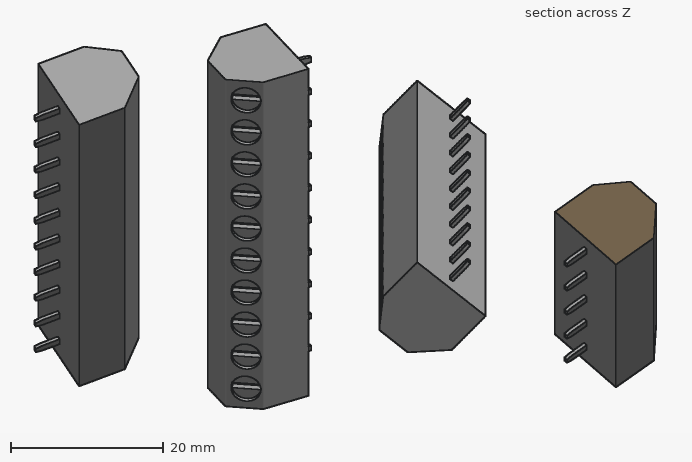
import cadquery as cq
import math

height = 51.7
width = 12.0
body_depth = 10.8
screw_bevel_x = 2.9
bevel_y = 4.1
wire_bevel_x = bevel_y
bevel_edge_radius = 0.35

pole_count = 10
pole_pitch = 5.05

pin_length = 3.45
pin_thickness = 0.5
pin_height = 1.0
tip_length = 0.95
tip_height = 0.65

screw_diameter = 3.95
screw_recess = 0.6
slot_width = 0.85
slot_bottom = 1.55
screw_offset = 0.2

left = -width / 2
right = width / 2
front = 0.0
back = body_depth
bevel_start = back - bevel_y
pole_heights = [(i - (pole_count - 1) / 2) * pole_pitch for i in range(pole_count)]


def make_housing():
    """Extruded body with two bevels; both corners of the screw bevel are rounded."""
    outline = [
        (left, front),
        (right, front),
        (right, bevel_start),
        (right - wire_bevel_x, back),
        (left + screw_bevel_x, back),
        (left, bevel_start),
    ]
    body = cq.Workplane("XY").polyline(outline).close().extrude(height / 2, both=True)
    screw_bevel_corners = outline[4:]
    for x, y in screw_bevel_corners:
        body = body.edges(cq.NearestToPointSelector((x, y, 0))).fillet(bevel_edge_radius)
    return body


def make_pin(z):
    """Flat solder pin pointing to -Y, tapered in height at its tip."""
    tip_end = front - pin_length
    tip_start = tip_end + tip_length
    profile = [
        (front, pin_height / 2),
        (tip_start, pin_height / 2),
        (tip_end, tip_height / 2),
        (tip_end, -tip_height / 2),
        (tip_start, -pin_height / 2),
        (front, -pin_height / 2),
    ]
    pin = cq.Workplane("YZ").polyline(profile).close().extrude(pin_thickness / 2, both=True)
    return pin.translate((0, 0, z))


def make_screw_cut(z):
    """Round recess over the screw head plus the deeper driver slot."""
    bevel_length = math.hypot(screw_bevel_x, bevel_y)
    along = (screw_bevel_x / bevel_length, bevel_y / bevel_length, 0)
    outward = (-along[1], along[0], 0)
    center_x = left + screw_bevel_x / 2 - screw_offset * along[0]
    center_y = back - bevel_y / 2 - screw_offset * along[1]
    face = cq.Workplane(cq.Plane(origin=(center_x, center_y, z), xDir=along, normal=outward))
    recess = face.circle(screw_diameter / 2).extrude(-screw_recess)
    slot = face.rect(screw_diameter, slot_width).extrude(-slot_bottom)
    slot = slot.intersect(face.circle(screw_diameter / 2).extrude(-slot_bottom))
    return recess.union(slot)


result = make_housing()
for pole_z in pole_heights:
    result = result.union(make_pin(pole_z))
    result = result.cut(make_screw_cut(pole_z))